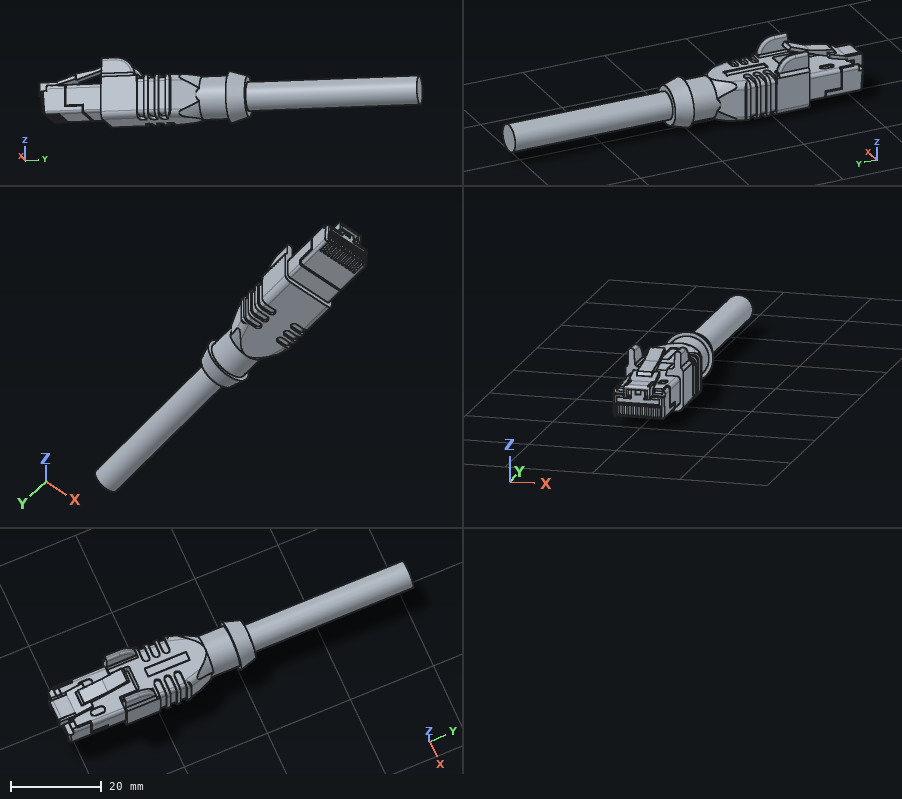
import cadquery as cq


total_length = 85.2
cable_dia = 6.5
collar_front_y = 42.6
collar_rear_y = 46.6
collar_front_dia = 11.6
collar_rear_dia = 9.2

neck_dia = 9.6
neck_front_y = 33.2
boot_width = 13.3
boot_height = neck_dia
boot_front_y = 14.65
boot_taper_y = 30.3
boot_taper_step = 0.25
boot_end_y = 36.4
boot_end_half_width = 4.6
boot_edge_radius = 1.5
boot_end_slope = 0.5
square_edge_end_y = 22.7
square_edge_chamfer = 0.3
half_width = boot_width / 2
half_height = boot_height / 2

groove_ys = (23.5, 26.0, 28.4)
groove_width = 1.5
groove_inner_x = 2.4
groove_side_depth = 0.5
groove_top_depth = 0.8
groove_core_radius = 0.85
label_width = 2.05
label_front_y = 22.2
label_length = 10.0
label_depth = 0.25

ear_top_z = 8.9
ear_rear_y = 21.9
ear_crest_y = 17.9
ear_outer_x = 6.05
ear_inner_x = 4.4
ear_tip_inner_x = 4.7
ear_foot_z = 5.3
ear_foot_flare = 0.4
ear_root_z = half_height - 0.85
ear_crest_radius = 0.6

plug_width = 11.8
plug_top_z = 3.2
plug_bottom_z = -3.2
plug_top_radius = 0.85
plug_bottom_radius = 0.6
plug_rear_y = 20.45
face_top_y = 0.9
face_bottom_y = 1.3
face_top_z = 1.9
brow_y = 2.2
face_chamfer = 0.5
seam_depth = 0.13
seam_width = 0.25
seam_rear_y = 10.4
seam_front_y = 6.5
seam_z = -1.6
dimple_x = 3.5
dimple_y = 9.0
dimple_length = 3.3
dimple_width = 1.6
dimple_depth = 0.3
brow_step_y = 3.2
brow_step_z = 2.7
brow_low_z = 2.4
brow_inner_x = 3.3
brow_outer_x = 5.2

crossbar_half_width = 4.85
crossbar_front_y = 0.85
crossbar_bottom_z = 0.2
crossbar_top_z = 1.4
socket_half_width = 5.1
socket_top_z = -0.2
socket_ledge_z = -0.5
socket_bottom_z = -2.9
socket_depth = 0.4
contact_count = 10
contact_pitch = 1.0
contact_slot_width = 0.5
contact_slot_depth = 3.4
contact_slot_top_z = -0.7

latch_half_width = 3.0
shoulder_y = 8.1
shoulder_top_z = 5.8
shoulder_bottom_z = 4.85
hook_y = 3.75
hook_top_z = 3.7
hook_overlap = 0.25
belly_y = 5.2
belly_z = 4.0
arm_step_y = 6.5
arm_step_top_z = 6.05
arm_toe_y = 5.9
arm_toe_z = 5.2
arm_bend_y = 12.2
arm_bend_z = 7.1
arm_rear_top_y = 16.9
arm_rear_bottom_y = 17.5
arm_rear_bottom_z = 8.0
arm_half_width = 1.7
stem_half_width = 1.5
notch_rear_y = 19.25
notch_wall_angle = 15.0
notch_corner_radius = 0.4
cheek_width = 0.6
nose_front_y = 0.0
nose_bottom_z = 1.45
nose_top_z = 4.5
nose_radius = 0.7
nose_recess_top_z = 3.5
nose_recess_bottom_z = 1.6
nose_recess_depth = 1.3
window_depth = 0.4
cheek_drop = 0.2
cheek_rear_y = 4.0
window_half_width = 0.6
window_bottom_z = 2.2
window_top_z = 3.4


def box(x_range, y_range, z_range):
    """Box given by its limits along each axis."""
    size = [high - low for low, high in (x_range, y_range, z_range)]
    corner = (x_range[0], y_range[0], z_range[0])
    return cq.Workplane("XY").box(*size, centered=False).translate(corner)


def along_y(section, start_y, end_y):
    """Extrude a closed polygon of (x, z) points from start_y to end_y."""
    plane = cq.Workplane("XZ", origin=(0, start_y, 0))
    return plane.polyline(section).close().extrude(start_y - end_y)


def across_x(profile, half):
    """Extrude a closed polygon of (y, z) points symmetrically about x = 0."""
    return cq.Workplane("YZ").polyline(profile).close().extrude(half, both=True)


def on_both_sides(solid):
    """The solid together with its mirror image across x = 0."""
    return solid.union(solid.mirror("YZ"))


def make_cable():
    profile = [
        (0, neck_front_y),
        (neck_dia / 2, neck_front_y),
        (neck_dia / 2, collar_front_y),
        (collar_front_dia / 2, collar_front_y),
        (collar_rear_dia / 2, collar_rear_y),
        (cable_dia / 2, collar_rear_y),
        (cable_dia / 2, total_length),
        (0, total_length),
    ]
    return cq.Workplane("XY").polyline(profile).close().revolve(360, (0, 0), (0, 1))


def make_boot_body():
    right_side = [
        (half_width, boot_front_y),
        (half_width, boot_taper_y - boot_taper_step),
        (half_width - boot_taper_step, boot_taper_y),
        (boot_end_half_width, boot_end_y),
    ]
    left_side = [(-x, y) for x, y in reversed(right_side)]
    body = (
        cq.Workplane("XY").polyline(right_side + left_side).close()
        .extrude(half_height, both=True)
        .edges("#Z and (not <Y) and (not >Y)").fillet(boot_edge_radius)
    )
    front_radius = half_height + boot_end_slope * (boot_end_y - boot_front_y)
    cone = (
        cq.Workplane("XY")
        .polyline([
            (0, boot_front_y),
            (front_radius, boot_front_y),
            (half_height, boot_end_y),
            (0, boot_end_y),
        ])
        .close().revolve(360, (0, 0), (0, 1))
    )
    body = body.intersect(cone)
    square_edge = along_y(
        [
            (ear_inner_x, 0),
            (half_width, 0),
            (half_width, half_height - square_edge_chamfer),
            (half_width - square_edge_chamfer, half_height),
            (ear_inner_x, half_height),
        ],
        boot_front_y, square_edge_end_y,
    )
    return body.union(on_both_sides(square_edge))


def make_grooves():
    core = (
        cq.Workplane("XZ", origin=(0, boot_front_y, 0))
        .rect(boot_width - 2 * groove_side_depth, boot_height - 2 * groove_top_depth)
        .extrude(boot_front_y - collar_front_y)
        .edges("|Y").fillet(groove_core_radius)
    )
    end_x = groove_inner_x + groove_width / 2
    slots = (
        cq.Workplane("XY")
        .pushPoints([(end_x + half_width / 2, y) for y in groove_ys])
        .slot2D(half_width + groove_width, groove_width)
        .extrude(half_height, both=True)
    )
    return on_both_sides(slots).cut(core)


def make_ears():
    outline = (
        cq.Workplane("YZ").moveTo(boot_front_y, ear_root_z)
        .lineTo(boot_front_y, ear_top_z)
        .lineTo(ear_crest_y, ear_top_z)
        .tangentArcPoint((ear_rear_y, ear_root_z), relative=False)
        .close().extrude(half_width)
    )
    blade = along_y(
        [
            (ear_inner_x, ear_root_z),
            (ear_outer_x, ear_root_z),
            (ear_outer_x, ear_top_z),
            (ear_tip_inner_x, ear_top_z),
        ],
        boot_front_y, square_edge_end_y,
    )
    blade = blade.intersect(outline).faces(">Z").edges("not |X").fillet(ear_crest_radius)
    foot = along_y(
        [
            (ear_inner_x - ear_foot_flare, ear_root_z),
            (half_width, ear_root_z),
            (half_width, half_height - square_edge_chamfer),
            (ear_outer_x, ear_foot_z),
            (ear_inner_x, ear_foot_z),
            (ear_inner_x - ear_foot_flare, half_height),
        ],
        boot_front_y, square_edge_end_y,
    )
    return on_both_sides(blade.union(foot.intersect(outline)))


def make_latch_notch():
    """Recess under the latch arm, open at the front, with walls leaning outwards towards the top."""
    notch = (
        cq.Workplane("XY", origin=(0, 0, half_height))
        .rect(2 * latch_half_width, 2 * (notch_rear_y - boot_front_y))
        .extrude(plug_top_z - half_height, taper=notch_wall_angle)
        .edges("not #Z").fillet(notch_corner_radius)
    )
    return notch.translate((0, boot_front_y, 0))


def make_plug():
    housing = (
        box((-plug_width / 2, plug_width / 2), (0, plug_rear_y), (plug_bottom_z, plug_top_z))
        .edges("|Y and >Z").fillet(plug_top_radius)
        .edges("|Y and <Z").fillet(plug_bottom_radius)
    )
    front_shape = across_x(
        [
            (plug_rear_y, plug_bottom_z),
            (face_bottom_y, plug_bottom_z),
            (face_top_y, face_top_z),
            (brow_y, face_top_z),
            (brow_y, plug_top_z),
            (plug_rear_y, plug_top_z),
        ],
        plug_width / 2,
    )
    plug = housing.intersect(front_shape)
    return plug.faces("<Y").edges("not |X").chamfer(face_chamfer)


def make_seam():
    """Stepped seam between the metal shell and the front housing, cut into both sides and the top."""
    half_seam = seam_width / 2
    upright = box(
        (0, plug_width / 2),
        (seam_front_y - half_seam, seam_front_y + half_seam),
        (seam_z - half_seam, plug_top_z),
    )
    ledge = box(
        (0, plug_width / 2),
        (seam_front_y - half_seam, seam_rear_y + half_seam),
        (seam_z - half_seam, seam_z + half_seam),
    )
    drop = box(
        (0, plug_width / 2),
        (seam_rear_y - half_seam, seam_rear_y + half_seam),
        (plug_bottom_z, seam_z + half_seam),
    )
    core = (
        cq.Workplane("XZ")
        .rect(plug_width - 2 * seam_depth, 2 * (plug_top_z - seam_depth))
        .extrude(-plug_rear_y)
        .edges("|Y and >Z").fillet(plug_top_radius)
        .edges("|Y and <Z").fillet(plug_bottom_radius)
    )
    top_x = plug_width / 2 - plug_top_radius
    top_face = box((-top_x, top_x), (0, plug_rear_y), (0, plug_top_z))
    edge_run = box(
        (top_x, top_x + seam_width),
        (brow_step_y, seam_front_y + half_seam),
        (plug_top_z - seam_width, plug_top_z),
    )
    wrap = on_both_sides(upright.union(ledge).union(drop)).cut(core).cut(top_face)
    return wrap.union(on_both_sides(edge_run))


def make_dimples():
    return (
        cq.Workplane("XY", origin=(0, 0, plug_top_z))
        .pushPoints([(-dimple_x, dimple_y), (dimple_x, dimple_y)])
        .slot2D(dimple_length, dimple_width, 90)
        .extrude(-dimple_depth)
    )


def make_brow_steps():
    """Stepped and sloping recesses on the upper front edge, one each side of the latch."""
    step = (
        cq.Workplane("YZ", origin=(brow_inner_x, 0, 0))
        .polyline([
            (brow_step_y, plug_top_z),
            (brow_step_y, brow_step_z),
            (brow_y, brow_low_z),
            (brow_y, plug_top_z),
        ])
        .close().extrude(brow_outer_x - brow_inner_x)
    )
    return on_both_sides(step)


def make_crossbar():
    return box(
        (-crossbar_half_width, crossbar_half_width),
        (crossbar_front_y, brow_y),
        (crossbar_bottom_z, crossbar_top_z),
    )


def make_socket():
    """Shallow socket in the mating face with a row of contact slots open to the underside."""
    half = socket_half_width
    socket = box((-half, half), (0, face_top_y + socket_depth), (socket_ledge_z, socket_top_z))
    socket = socket.union(
        box((-half, half), (0, face_bottom_y + socket_depth), (socket_bottom_z, socket_ledge_z))
    )
    for index in range(contact_count):
        x = (index - (contact_count - 1) / 2) * contact_pitch
        slot = box(
            (x - contact_slot_width / 2, x + contact_slot_width / 2),
            (0, face_bottom_y + contact_slot_depth),
            (plug_bottom_z, contact_slot_top_z),
        )
        socket = socket.union(slot)
    return socket


def make_latch():
    """Sprung latch: a broad nose block on the plug and a narrow arm rising towards the boot."""
    nose = across_x(
        [
            (shoulder_y, shoulder_top_z),
            (cheek_rear_y, nose_top_z),
            (nose_front_y, nose_top_z),
            (nose_front_y, nose_bottom_z),
            (brow_y, nose_bottom_z),
            (hook_y, plug_top_z - hook_overlap),
            (hook_y, hook_top_z),
            (belly_y, belly_z),
            (shoulder_y, shoulder_bottom_z),
        ],
        latch_half_width,
    )
    nose = nose.faces("<Y").edges(">Z").fillet(nose_radius)
    arm = across_x(
        [
            (arm_rear_top_y, ear_top_z),
            (arm_bend_y, arm_bend_z),
            (arm_step_y, arm_step_top_z),
            (arm_toe_y, arm_toe_z),
            (arm_step_y, shoulder_bottom_z),
            (shoulder_y, shoulder_bottom_z),
            (arm_rear_bottom_y, arm_rear_bottom_z),
        ],
        arm_half_width,
    )
    stem = box(
        (-stem_half_width, stem_half_width),
        (crossbar_front_y, brow_y),
        (crossbar_bottom_z, nose_recess_top_z),
    )
    return nose.union(arm).union(stem)


def make_latch_recesses():
    """Pocket in the nose around the stem, window in the stem, and lowered cheeks either side of the nose."""
    inner_half = latch_half_width - cheek_width
    side = box(
        (stem_half_width, inner_half),
        (nose_front_y, nose_front_y + nose_recess_depth),
        (nose_recess_bottom_z, nose_recess_top_z),
    )
    cheek = box(
        (inner_half, latch_half_width),
        (nose_front_y, cheek_rear_y),
        (nose_top_z - cheek_drop, nose_top_z),
    )
    stem_front = box(
        (-stem_half_width, stem_half_width),
        (nose_front_y, crossbar_front_y),
        (nose_bottom_z, nose_recess_top_z),
    )
    window = box(
        (-window_half_width, window_half_width),
        (crossbar_front_y, crossbar_front_y + window_depth),
        (window_bottom_z, window_top_z),
    )
    return on_both_sides(side.union(cheek)).union(stem_front).union(window)


def make_label_slot():
    return box(
        (-label_width / 2, label_width / 2),
        (label_front_y, label_front_y + label_length),
        (half_height - label_depth, half_height),
    )


boot = make_boot_body().cut(make_grooves()).cut(make_label_slot())
boot = boot.union(make_ears()).cut(make_latch_notch())
plug = make_plug().cut(make_seam()).cut(make_dimples()).cut(make_brow_steps())
plug = plug.cut(make_socket()).union(make_crossbar())
latch = make_latch().cut(make_latch_recesses())

result = make_cable().union(boot).union(plug).union(latch)